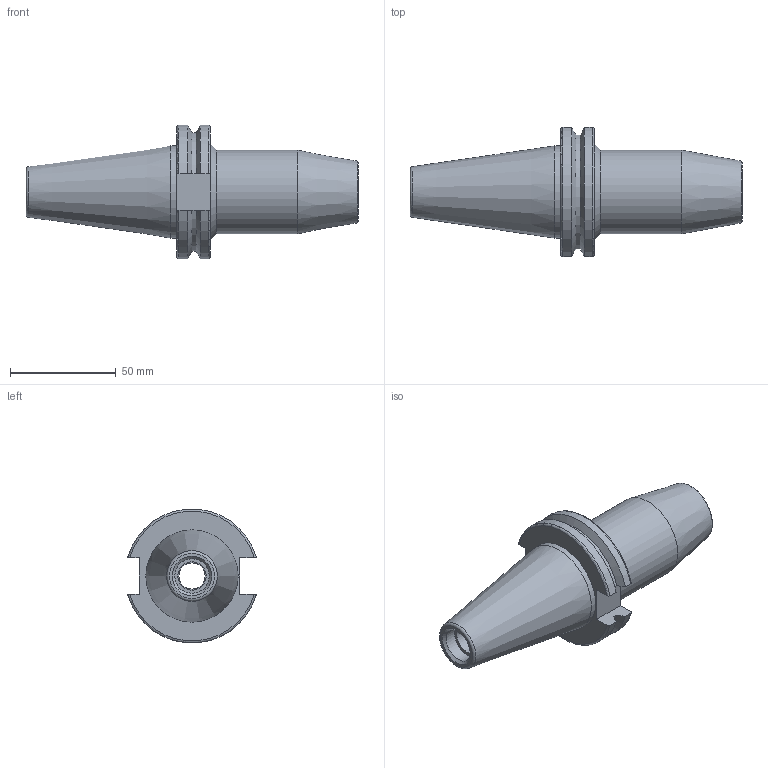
import cadquery as cq
import math


taper_diameter = 43.69
taper_ratio = 7 / 24
taper_length = 68.63
small_end_fillet = 1.27

flange_start = 2.8
flange_thickness = 15.87
flange_diameter = 63.5
flange_edge_fillet = 1.0
groove_center = 10.94
groove_floor_width = 2.05
groove_depth = 3.5
groove_half_angle = 30.0
slot_width = 17.15
slot_floor_front = 22.6
slot_floor_back = 25.0

total_length = 157.23
neck_diameter = 39.75
shoulder_diameter = 45.2
nose_taper_length = 28.8
nose_end_diameter = 29.1
nose_edge_fillet = 0.5

mouth_diameter = 18.8
counterbore_diameter = 16.26
mouth_depth = 1.3
counterbore_depth = 7.0
thread_diameter = 13.39
thread_depth = 28.0
through_diameter = 12.38

small_end_x = -taper_length
small_end_diameter = taper_diameter - taper_ratio * taper_length
flange_end = flange_start + flange_thickness
nose_x = small_end_x + total_length


def revolve_outline(points):
    """Revolve a closed outline of (x, radius) points about the X axis."""
    return cq.Workplane("XY").polyline(points).close().revolve(360, (0, 0, 0), (1, 0, 0))


def cylinder_cut(start, end, diameter):
    """Cylinder on the X axis between two X positions."""
    return cq.Workplane("YZ", origin=(start, 0, 0)).circle(diameter / 2).extrude(end - start)


def make_shank():
    shank = revolve_outline([
        (small_end_x, 0),
        (small_end_x, small_end_diameter / 2),
        (0, taper_diameter / 2),
        (flange_start, taper_diameter / 2),
        (flange_start, 0),
    ])
    return shank.faces("<X").edges().fillet(small_end_fillet)


def make_groove():
    flange_radius = flange_diameter / 2
    floor_half = groove_floor_width / 2
    mouth_half = floor_half + groove_depth * math.tan(math.radians(groove_half_angle))
    return revolve_outline([
        (groove_center - mouth_half, flange_radius),
        (groove_center - floor_half, flange_radius - groove_depth),
        (groove_center + floor_half, flange_radius - groove_depth),
        (groove_center + mouth_half, flange_radius),
    ])


def make_slot(side, floor_distance):
    """Drive slot on the side given by the sign of Y, open outward."""
    depth = flange_diameter / 2
    return cq.Workplane("XY").box(flange_thickness, depth, slot_width).translate(
        (flange_start + flange_thickness / 2, side * (floor_distance + depth / 2), 0)
    )


def make_flange():
    flange = cylinder_cut(flange_start, flange_end, flange_diameter)
    flange = flange.faces("<X or >X").edges().fillet(flange_edge_fillet)
    flange = flange.cut(make_groove())
    flange = flange.cut(make_slot(-1, slot_floor_front))
    return flange.cut(make_slot(1, slot_floor_back))


def make_nose():
    shoulder_length = (shoulder_diameter - neck_diameter) / 2
    nose = revolve_outline([
        (flange_end, 0),
        (flange_end, shoulder_diameter / 2),
        (flange_end + shoulder_length, neck_diameter / 2),
        (nose_x - nose_taper_length, neck_diameter / 2),
        (nose_x, nose_end_diameter / 2),
        (nose_x, 0),
    ])
    return nose.faces(">X").edges().fillet(nose_edge_fillet)


def make_bore():
    return revolve_outline([
        (small_end_x, 0),
        (small_end_x, mouth_diameter / 2),
        (small_end_x + mouth_depth, counterbore_diameter / 2),
        (small_end_x + counterbore_depth, counterbore_diameter / 2),
        (small_end_x + counterbore_depth, thread_diameter / 2),
        (small_end_x + thread_depth, thread_diameter / 2),
        (small_end_x + thread_depth, through_diameter / 2),
        (nose_x, through_diameter / 2),
        (nose_x, 0),
    ])


result = make_shank().union(make_flange()).union(make_nose()).cut(make_bore())